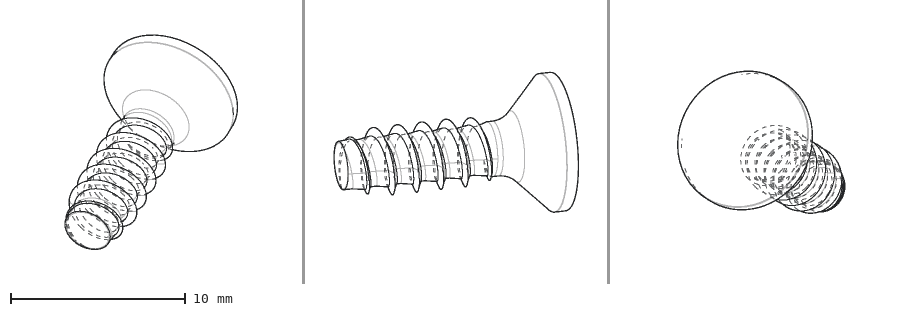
import cadquery as cq
import math


length = 13.0
head_diameter = 8.0
head_radius = head_diameter / 2
head_rim_height = 0.7
head_edge_fillet = 0.04
shank_radius = 1.59
neck_radius = 1.61
shank_end = 4.11
shank_taper_end = 4.75
core_radius = 1.39

recess_radius = 1.33
recess_depth = 0.1

pitch = 1.45
crest_height = 0.6
lead_in_height = 0.31
run_out_height = 0.03
thread_start = 3.87
start_angle = math.pi
full_thread_start = 5.46
full_thread_end = 10.85
thread_end = 12.97
root_rise = 0.12
root_rise_share = 0.4
swell_end = 1.03
head_flank_slope = 0.52
tip_flank_slope = 0.42
shoulder_height_share = 0.4
shoulder_offset_share = 0.27
swell_embed = 0.02
thread_embed = 0.08
points_per_turn = 24
points_per_face = 12


def make_head():
    """Revolve head, neck, shank and the taper from the shank to the core."""
    neck_drop = neck_radius * (1 - math.cos(math.pi / 4))
    neck_run = neck_radius * math.sin(math.pi / 4)
    cone_end_radius = shank_radius + neck_drop
    cone_end = head_rim_height + head_radius - cone_end_radius
    half_drop = neck_radius * (1 - math.cos(math.pi / 8))
    half_run = neck_radius * math.sin(math.pi / 8)
    neck_end = cone_end + neck_run
    profile = (
        cq.Workplane("XZ")
        .moveTo(0, 0)
        .lineTo(head_radius, 0)
        .lineTo(head_radius, head_rim_height)
        .lineTo(cone_end_radius, cone_end)
        .threePointArc((shank_radius + half_drop, neck_end - half_run), (shank_radius, neck_end))
        .lineTo(shank_radius, shank_end)
        .lineTo(core_radius, shank_taper_end)
        .lineTo(0, shank_taper_end)
        .close()
    )
    body = profile.revolve(360, (0, 0, 0), (0, 1, 0))
    rim_edges = cq.selectors.RadiusNthSelector(-1)
    return body.edges("%CIRCLE").edges(rim_edges).fillet(head_edge_fillet)


def height_at(station):
    """Crest height: grows from the shank, stays full, then fades to the tip."""
    if station < full_thread_start:
        share = (station - thread_start) / (full_thread_start - thread_start)
        return lead_in_height + share * (crest_height - lead_in_height)
    if station > full_thread_end:
        share = (station - full_thread_end) / (thread_end - full_thread_end)
        return crest_height + share * (run_out_height - crest_height)
    return crest_height


def ridge_section(height):
    """Ridge corners as (axial offset from the crest, height above the core)."""
    rise = min(root_rise, root_rise_share * height)
    toe = -head_flank_slope * (height + thread_embed)
    return [
        (toe, -thread_embed),
        (-shoulder_offset_share * height, shoulder_height_share * height),
        (0, height),
        (tip_flank_slope * (height - rise), rise),
        (swell_end, -swell_embed),
        (swell_end, -thread_embed),
    ]


def make_thread():
    """Right-hand ridge bounded by ruled surfaces between its corner helices."""
    step_count = round((thread_end - thread_start) / pitch * points_per_turn)
    corner_count = len(ridge_section(crest_height))
    paths = [[] for _ in range(corner_count)]
    for step in range(step_count + 1):
        advance = (thread_end - thread_start) * step / step_count
        angle = start_angle + 2 * math.pi * advance / pitch
        station = thread_start + advance
        for path, (offset, rise) in zip(paths, ridge_section(height_at(station))):
            radius = core_radius + rise
            path.append(cq.Vector(radius * math.cos(angle), radius * math.sin(angle), station + offset))

    faces = []
    for first in range(0, step_count, points_per_face):
        last = min(first + points_per_face, step_count)
        helices = [cq.Edge.makeSpline(path[first:last + 1]) for path in paths]
        for index, helix in enumerate(helices):
            faces.append(cq.Face.makeRuledSurface(helix, helices[(index + 1) % corner_count]))
    for end in (0, -1):
        outline = cq.Wire.makePolygon([path[end] for path in paths], close=True)
        faces.append(cq.Face.makeFromWires(outline))
    ridge = cq.Solid.makeSolid(cq.Shell.makeShell(faces))

    return cq.Workplane(obj=ridge)


def cylinder(radius, start, end):
    """Solid cylinder on the screw axis between two axial stations."""
    return cq.Workplane("XY", origin=(0, 0, start)).circle(radius).extrude(end - start)


def make_threaded_rod():
    """Core with its ridge, trimmed flush at the shank and at the tip, and recessed."""
    core = cylinder(core_radius, shank_end - pitch, length + pitch)
    rod = core.union(make_thread())
    rod = rod.intersect(cylinder(head_radius, shank_end, length))
    recess = cq.Solid.makeCone(0, recess_radius, recess_depth, cq.Vector(0, 0, length - recess_depth))
    return rod.cut(cq.Workplane(obj=recess))


screw = make_threaded_rod().union(make_head())
result = screw.rotate((0, 0, 0), (1, 0, 0), 90)